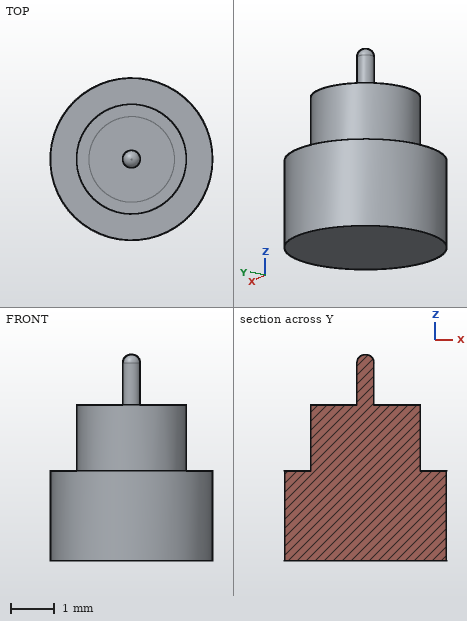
import cadquery as cq

total_height = 4.7
base_diameter = 3.7
base_height = 2.05
collar_diameter = 2.5
collar_height = 1.5

core_diameter = 1.95

pin_diameter = 0.4
tip_rounding = 0.19

collar_top = base_height + collar_height
pin_length = total_height - collar_top


def cylinder(diameter, height, bottom):
    """Upright cylinder on the Z axis, starting at the given height."""
    return cq.Workplane("XY").workplane(offset=bottom).circle(diameter / 2).extrude(height)


def make_collar():
    """Ring around the core, standing on the base."""
    ring = cq.Workplane("XY").workplane(offset=base_height)
    return ring.circle(collar_diameter / 2).circle(core_diameter / 2).extrude(collar_height)


def make_pin():
    """Centre pin standing on the core, rounded at its free end."""
    return cylinder(pin_diameter, pin_length, collar_top).faces(">Z").edges().fillet(tip_rounding)


base = cylinder(base_diameter, base_height, 0)
core = cylinder(core_diameter, collar_height, base_height)

result = base.union(make_collar(), clean=False)
result = result.union(core, clean=False)
result = result.union(make_pin(), clean=False)